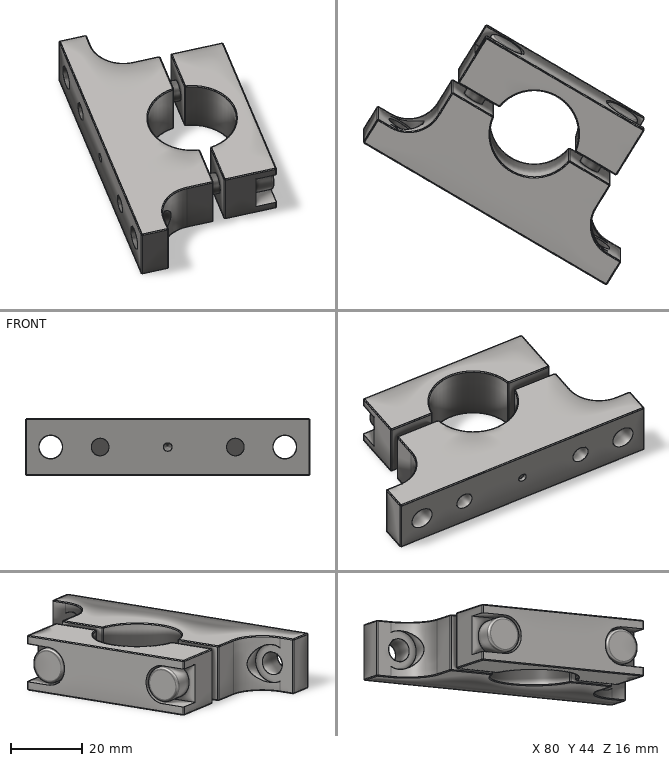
import cadquery as cq
import math

BASE_LENGTH = 80.0
TOTAL_DEPTH = 44.0
THICKNESS = 16.0
EDGE_CHAMFER = 0.28

CLAMP_WIDTH = 52.0
BORE_DIAMETER = 25.0
BORE_CENTRE_Y = 27.0
SPLIT_GAP = 3.2
BASE_TOP_Y = BORE_CENTRE_Y - SPLIT_GAP / 2
CAP_BOTTOM_Y = BORE_CENTRE_Y + SPLIT_GAP / 2

FLANGE_DEPTH = 8.0
FLANGE_FILLET = 9.6
MOUNT_X = 33.0
MOUNT_HOLE_DIAMETER = 6.6
SPOTFACE_DIAMETER = 11.0

CENTRE_HOLE_DIAMETER = 2.4
CENTRE_HOLE_DEPTH = 1.2
DRILL_POINT_ANGLE = 90.0

SCREW_X = 19.0
SHANK_DIAMETER = 6.0
SCREW_LENGTH = 25.0
HEAD_DIAMETER = 10.0
HEAD_HEIGHT = 6.0
HEAD_EDGE_RADIUS = 0.6
HEAD_POCKET_WIDTH = 11.0
TAP_DRILL_DIAMETER = 5.0
HEAD_SEAT_Y = TOTAL_DEPTH - HEAD_HEIGHT
SCREW_TIP_Y = HEAD_SEAT_Y - SCREW_LENGTH

SIDES = (-1, 1)


def cylinder_y(diameter, x, y_start, y_end):
    """Cylinder along +Y at mid thickness, from y_start to y_end."""
    axis_start = cq.Vector(x, y_start, 0)
    solid = cq.Solid.makeCylinder(diameter / 2, y_end - y_start, axis_start, cq.Vector(0, 1, 0))
    return cq.Workplane(obj=solid)


def bore():
    """Shaft bore through the full thickness, shared by base and cap."""
    return cq.Workplane().center(0, BORE_CENTRE_Y).circle(BORE_DIAMETER / 2).extrude(THICKNESS, both=True)


def extrude_outline(outline):
    """Extrude a closed outline symmetrically about Z = 0."""
    return outline.extrude(THICKNESS / 2, both=True)


def chamfer_edges(corners):
    """Chamfer the chosen corners along Z, then the rims of both flat faces."""
    return corners.chamfer(EDGE_CHAMFER).faces("|Z").edges().chamfer(EDGE_CHAMFER)


def centre_hole():
    """Blind hole with a conical drill point."""
    radius = CENTRE_HOLE_DIAMETER / 2
    point_depth = radius / math.tan(math.radians(DRILL_POINT_ANGLE / 2))
    apex_y = CENTRE_HOLE_DEPTH + point_depth
    profile = [(0, 0), (0, radius), (CENTRE_HOLE_DEPTH, radius), (apex_y, 0)]
    return cq.Workplane("YZ").polyline(profile).close().revolve(360, (0, 0), (1, 0))


def make_base():
    """Flanged lower half of the clamp."""
    half_length = BASE_LENGTH / 2
    half_width = CLAMP_WIDTH / 2
    outline = (
        cq.Workplane()
        .moveTo(-half_length, 0)
        .lineTo(half_length, 0)
        .lineTo(half_length, FLANGE_DEPTH)
        .lineTo(half_width + FLANGE_FILLET, FLANGE_DEPTH)
        .radiusArc((half_width, FLANGE_DEPTH + FLANGE_FILLET), FLANGE_FILLET)
        .lineTo(half_width, BASE_TOP_Y)
        .lineTo(-half_width, BASE_TOP_Y)
        .lineTo(-half_width, FLANGE_DEPTH + FLANGE_FILLET)
        .radiusArc((-half_width - FLANGE_FILLET, FLANGE_DEPTH), FLANGE_FILLET)
        .lineTo(-half_length, FLANGE_DEPTH)
        .close()
    )
    base = extrude_outline(outline).cut(bore())
    base = chamfer_edges(base.faces("<X or >X or >Y").edges("|Z"))
    for side in SIDES:
        mount_x = side * MOUNT_X
        screw_x = side * SCREW_X
        base = base.cut(cylinder_y(MOUNT_HOLE_DIAMETER, mount_x, 0, FLANGE_DEPTH))
        base = base.cut(cylinder_y(SPOTFACE_DIAMETER, mount_x, FLANGE_DEPTH, BASE_TOP_Y))
        base = base.cut(cylinder_y(TAP_DRILL_DIAMETER, screw_x, 0, SCREW_TIP_Y))
        base = base.cut(cylinder_y(SHANK_DIAMETER, screw_x, SCREW_TIP_Y, BASE_TOP_Y))
    return base.cut(centre_hole())


def head_pocket(side):
    """Round-ended pocket for a screw head, open towards the side of the cap."""
    centre_x = side * SCREW_X
    round_end = cylinder_y(HEAD_POCKET_WIDTH, centre_x, HEAD_SEAT_Y, TOTAL_DEPTH)
    run_out = CLAMP_WIDTH / 2 - SCREW_X
    opening = cq.Workplane().box(run_out, HEAD_HEIGHT, HEAD_POCKET_WIDTH)
    opening_centre = (centre_x + side * run_out / 2, HEAD_SEAT_Y + HEAD_HEIGHT / 2, 0)
    return round_end.union(opening.translate(opening_centre))


def make_cap():
    """Upper half of the clamp with side-open pockets for the screw heads."""
    cap_depth = TOTAL_DEPTH - CAP_BOTTOM_Y
    outline = cq.Workplane().center(0, CAP_BOTTOM_Y + cap_depth / 2).rect(CLAMP_WIDTH, cap_depth)
    cap = extrude_outline(outline).cut(bore())
    cap = chamfer_edges(cap.faces("<Y or >Y").edges("|Z"))
    for side in SIDES:
        cap = cap.cut(head_pocket(side))
        cap = cap.cut(cylinder_y(SHANK_DIAMETER, side * SCREW_X, CAP_BOTTOM_Y, HEAD_SEAT_Y))
    return cap


def make_screw(x):
    """Cap screw with a rounded head edge, pointing towards -Y."""
    head = cylinder_y(HEAD_DIAMETER, x, HEAD_SEAT_Y, TOTAL_DEPTH)
    head = head.faces(">Y").edges().fillet(HEAD_EDGE_RADIUS)
    return head.union(cylinder_y(SHANK_DIAMETER, x, SCREW_TIP_Y, HEAD_SEAT_Y))


base = make_base()
cap = make_cap()
screws = [make_screw(side * SCREW_X) for side in SIDES]

result = cq.Compound.makeCompound([base.val(), cap.val(), *[screw.val() for screw in screws]])